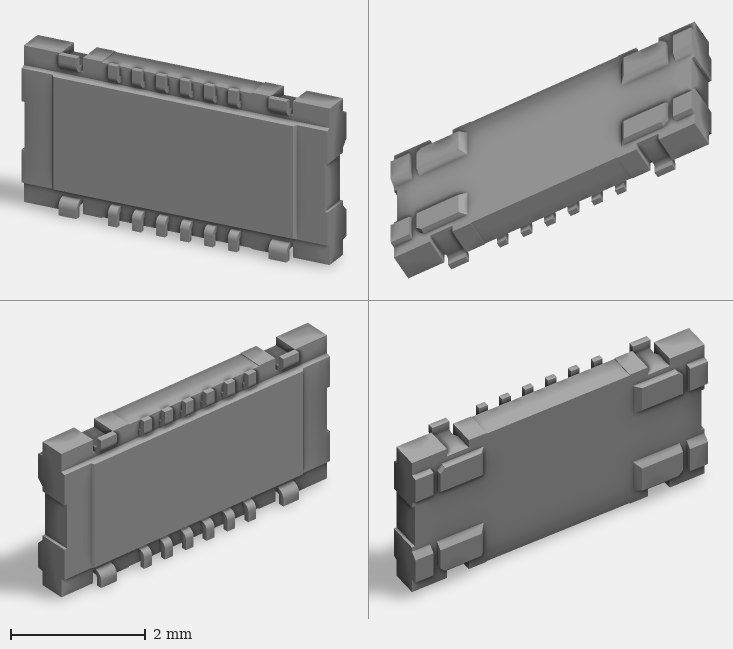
import cadquery as cq

LENGTH_X = 5.1
DEPTH_Y = 0.68
HEIGHT_Z = 2.6
half_length = LENGTH_X / 2
half_height = HEIGHT_Z / 2

pad_y = 0.03
end_step_y = 0.07
body_front_y = 0.14
body_back_y = 0.58

body_half_height = 1.265
waist_half_height = 1.25
waist_half_length = 1.25
end_notch_depth = 0.05
end_notch_half_height = 0.39

band_base_half_height = 0.95
pad_half_height = 0.91
pad_half_length = 2.0
pad_end_taper = end_step_y - pad_y

block_outer_z = 1.005
block_draft = 0.015
block_inner_z = 0.572
block_inner_x = 1.40
block_height = DEPTH_Y - body_back_y
slot_inner_x = 2.115
slot_outer_x = 2.235
slot_corner_chamfer = 0.08

root_thickness = 0.085

lead_count = 6
lead_pitch = 0.4
lead_width = 0.15
lead_thickness = 0.09
lead_bend_z = 1.115
lead_outer_radius = 0.11
lead_inner_radius = 0.03

tab_x = 1.75
tab_width = 0.30
tab_thickness = 0.1
tab_bend_z = 1.175
tab_outer_radius = 0.14
tab_inner_radius = 0.04
tab_embed_depth = 0.05
notch_width = 0.38
notch_relief_z = tab_bend_z - tab_outer_radius
notch_floor_z = notch_relief_z + root_thickness
flare_start_y = 0.21
flare_end_y = 0.28


def box(x_min, x_max, y_min, y_max, z_min, z_max):
    """Axis-aligned block given by its limits."""
    size = (x_max - x_min, y_max - y_min, z_max - z_min)
    return cq.Workplane("XY").box(*size, centered=False).translate((x_min, y_min, z_min))


def in_four_corners(corner):
    """Union of a +X +Z corner feature and its mirror images in X and Z."""
    pair = corner.union(corner.mirror("YZ"))
    return pair.union(pair.mirror("XY"))


def extrude_along_x(profile, width, center_x):
    """Extrude a YZ profile symmetrically about the plane X = center_x."""
    return profile.extrude(width / 2, both=True).translate((center_x, 0, 0))


def make_body():
    """Main slab: tall corners, slightly lower middle stretch."""
    slab = box(-half_length, half_length, body_front_y, body_back_y, -waist_half_height, waist_half_height)
    corner = box(waist_half_length, half_length, body_front_y, body_back_y, 0, body_half_height)
    return slab.union(in_four_corners(corner))


def make_front_band():
    """Tapered band along the full length, with the pad standing proud in the middle."""
    profile = cq.Workplane("YZ").polyline([
        (body_front_y, -band_base_half_height),
        (pad_y, -pad_half_height),
        (pad_y, pad_half_height),
        (body_front_y, band_base_half_height),
    ]).close()
    band = extrude_along_x(profile, LENGTH_X, 0)
    end_cut = cq.Workplane("XY").polyline([
        (pad_half_length, pad_y),
        (pad_half_length + pad_end_taper, end_step_y),
        (half_length, end_step_y),
        (half_length, pad_y),
    ]).close().extrude(half_height, both=True)
    return band.cut(end_cut).cut(end_cut.mirror("YZ"))


def make_rear_block():
    """Rear block at the +X +Z corner, sloped inward and split by a slot."""
    z_profile = cq.Workplane("YZ").polyline([
        (body_back_y, block_inner_z - block_height),
        (DEPTH_Y, block_inner_z),
        (DEPTH_Y, block_outer_z),
        (body_back_y, block_outer_z + block_draft),
    ]).close().extrude(half_length)
    x_profile = cq.Workplane("XY").polyline([
        (block_inner_x - block_height, body_back_y),
        (block_inner_x, DEPTH_Y),
        (half_length, DEPTH_Y),
        (half_length, body_back_y),
    ]).close().extrude(half_height)
    slot = cq.Workplane("XZ").polyline([
        (slot_inner_x, 0),
        (slot_inner_x, block_outer_z - slot_corner_chamfer),
        (slot_inner_x - slot_corner_chamfer, block_outer_z),
        (slot_inner_x - slot_corner_chamfer, half_height),
        (slot_outer_x, half_height),
        (slot_outer_x, 0),
    ]).close().extrude(-DEPTH_Y)
    return z_profile.intersect(x_profile).cut(slot)


def make_bent_lead(center_x, width, thickness, outer_radius, inner_radius, bend_z, root_y):
    """Flat foot on the seating plane, bent through 90 degrees into the body as far as root_y."""
    root_bottom = bend_z - outer_radius
    root_top = root_bottom + root_thickness
    profile = (
        cq.Workplane("YZ")
        .moveTo(0, half_height)
        .lineTo(0, bend_z)
        .radiusArc((outer_radius, root_bottom), -outer_radius)
        .lineTo(root_y, root_bottom)
        .lineTo(root_y, root_top)
        .lineTo(thickness + inner_radius, root_top)
        .radiusArc((thickness, root_top + inner_radius), inner_radius)
        .lineTo(thickness, half_height)
        .close()
    )
    return extrude_along_x(profile, width, center_x)


def make_tab_notch():
    """Notch through the body edge, with a deeper relief on both flanks of the tab root."""
    left = tab_x - notch_width / 2
    right = tab_x + notch_width / 2
    notch = box(left, right, pad_y, body_back_y, notch_floor_z, half_height)
    relief = box(left, right, body_front_y, flare_end_y, notch_relief_z, notch_floor_z)
    root = cq.Workplane("XY").polyline([
        (tab_x - tab_width / 2, body_front_y),
        (tab_x + tab_width / 2, body_front_y),
        (tab_x + tab_width / 2, flare_start_y),
        (right, flare_end_y),
        (left, flare_end_y),
        (tab_x - tab_width / 2, flare_start_y),
    ]).close().extrude(half_height)
    return notch.union(relief.cut(root))


def make_signal_leads():
    """Two mirrored rows of evenly spaced signal leads."""
    row = cq.Workplane("XY")
    for index in range(lead_count):
        center_x = (index - (lead_count - 1) / 2) * lead_pitch
        lead = make_bent_lead(
            center_x, lead_width, lead_thickness,
            lead_outer_radius, lead_inner_radius, lead_bend_z, body_front_y,
        )
        row = row.add(lead)
    row = row.combine()
    return row.union(row.mirror("XY"))


end_notch = box(
    half_length - end_notch_depth, half_length, 0, DEPTH_Y, -end_notch_half_height, end_notch_half_height
)
tab = make_bent_lead(
    tab_x, tab_width, tab_thickness,
    tab_outer_radius, tab_inner_radius, tab_bend_z, body_front_y + tab_embed_depth,
)

result = make_body().union(make_front_band()).union(in_four_corners(make_rear_block()))
result = result.cut(end_notch).cut(end_notch.mirror("YZ"))
result = result.cut(in_four_corners(make_tab_notch()))
result = result.union(in_four_corners(tab)).union(make_signal_leads())